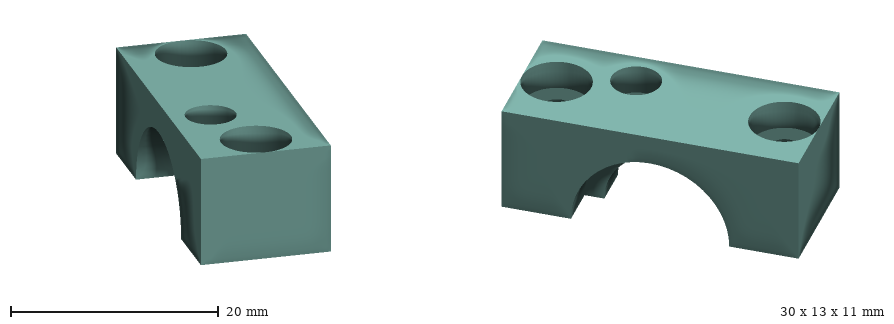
import cadquery as cq

length = 30
width = 13.0
height = 11.0

channel_diameter = 16.0
rib_bore_diameter = 12
rib_width = width / 3

screw_diameter = 3
head_diameter = 7.0
head_depth = 3
screw_x = (length - head_diameter) / 2

pocket_diameter = 5.0
pocket_depth = 3
pocket_x = 4.25
pocket_y = -2.5


def bore_along_y(diameter, start_y, end_y):
    """Cylinder on the underside centreline between two Y positions."""
    return (
        cq.Workplane("XZ", origin=(0, start_y, 0))
        .circle(diameter / 2)
        .extrude(start_y - end_y)
    )


block = cq.Workplane("XY").box(length, width, height, centered=(True, True, False))

block = block.cut(bore_along_y(rib_bore_diameter, -width / 2, width / 2))
for side in (-1, 1):
    block = block.cut(bore_along_y(channel_diameter, side * rib_width / 2, side * width / 2))

top_plane = cq.Workplane("XY", origin=(0, 0, height))
screw_points = [(-screw_x, 0), (screw_x, 0)]
heads = top_plane.pushPoints(screw_points).circle(head_diameter / 2).extrude(-head_depth)
screws = top_plane.pushPoints(screw_points).circle(screw_diameter / 2).extrude(-height)
pocket = top_plane.center(pocket_x, pocket_y).circle(pocket_diameter / 2).extrude(-pocket_depth)

result = block.cut(heads).cut(screws).cut(pocket)